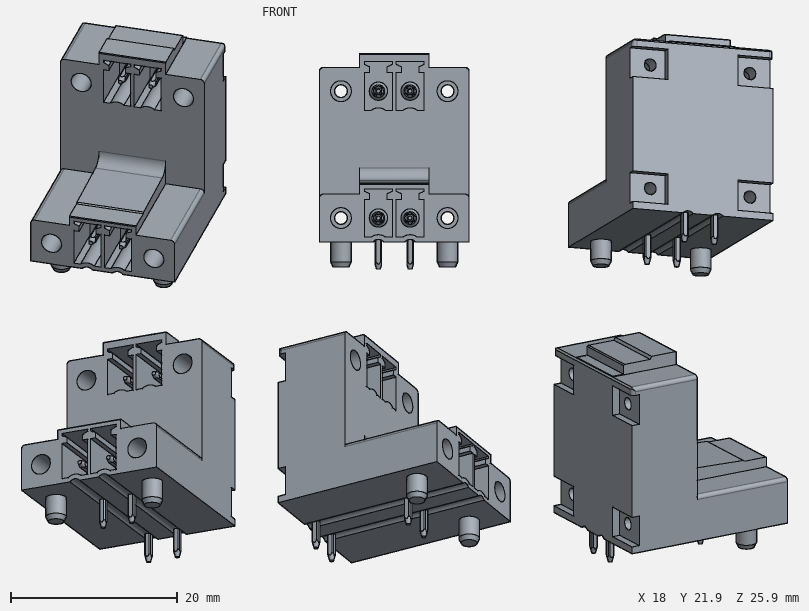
import cadquery as cq
import math


width = 18.01
depth = 21.9
step_y = 12.7
deck_pitch = 15.24
lower_shoulder_z = 5.76
upper_shoulder_z = lower_shoulder_z + deck_pitch
shoulder_radius = 0.5
rear_edge_run = 0.22
rear_edge_drop = 0.22

block_width = 8.35
nose_chamfer = 0.1
lower_nose_z = 7.0
lower_nose_length = 3.08
ramp_start_z = 7.13
ramp_end_z = 7.41
blend_radius = 1.5
upper_nose_z = 22.65
upper_nose_length = 3.5
upper_back_z = 22.3
upper_back_y = depth - 1.73
rear_strip_rise = 0.1
step_run = 0.21

pole_pitch = 3.81
poles_x = (-pole_pitch / 2, pole_pitch / 2)
pin_z = 2.89
cavity_width = 3.39
cavity_depth = 6.9
floor_z = 0.59
ledge_z = 5.11
lip_top_z = 5.8
lip_root_z = 6.13
lower_roof_z = 6.4
upper_roof_z = 21.67 - deck_pitch
neck_width = 2.08
rib_radius = 1.4
rib_height = 0.3
rib_centre_z = floor_z + rib_height - rib_radius
groove_radius = rib_radius - floor_z

collar_base_radius = 1.1
collar_tip_radius = 0.76
collar_height = 0.5
collar_lip_radius = 0.6
collar_lip_height = 0.2

screw_x = 6.4
screw_bore = 2.5
screw_bore_depth = 6.0
screw_pilot = 1.5
recess_width = 4.5
recess_depth = 1.0
recess_height = 3.75
lower_recess_z = 2.75
recess_pitch = 15.4
upper_recess_top_z = lower_recess_z + recess_pitch + recess_height / 2
peg_y = 4.22
peg_diameter = 2.5
peg_length = 3.0
peg_chamfer_height = 0.6
peg_chamfer_width = 0.3

pin_size = 0.8
pin_edge_chamfer = 0.14
pin_bottom_z = -3.25
leg_setback = 7.95
pin_tip_setback = 1.4
tip_length = 1.2
tip_radius = 0.24

decks = ((0.0, 0.0, lower_roof_z), (step_y, deck_pitch, upper_roof_z))


def box(x_size, y_start, y_end, z_start, z_end, x_centre=0.0):
    """Block centred on x_centre and spanning the given Y and Z ranges."""
    block = cq.Workplane("XY").box(x_size, y_end - y_start, z_end - z_start, centered=(True, False, False))
    return block.translate((x_centre, y_start, z_start))


def rod(radius, y_start, length, x, z):
    """Cylinder along +Y."""
    solid = cq.Solid.makeCylinder(radius, length, cq.Vector(x, y_start, z), cq.Vector(0, 1, 0))
    return cq.Workplane(obj=solid)


def deck_block(y_start, y_end, top_z):
    """Full-width block standing on the underside, with rounded shoulders along Y."""
    return box(width, y_start, y_end, 0, top_z).edges("|Y and >Z").fillet(shoulder_radius)


def rear_edge_bevel():
    """Wedge removed along the rear top edge."""
    return (
        cq.Workplane("YZ")
        .polyline([
            (depth, upper_shoulder_z - rear_edge_drop),
            (depth, upper_shoulder_z),
            (depth - rear_edge_run, upper_shoulder_z),
        ])
        .close()
        .extrude(width / 2, both=True)
    )


def rear_corner_waste(side):
    """Material outside the round of a vertical rear corner, above the upper recess."""
    x = side * (width - shoulder_radius) / 2
    corner = box(shoulder_radius, depth - shoulder_radius, depth, upper_recess_top_z, upper_shoulder_z, x)
    axis_x = side * (width / 2 - shoulder_radius)
    rounding = cq.Solid.makeCylinder(
        shoulder_radius, upper_shoulder_z, cq.Vector(axis_x, depth - shoulder_radius, 0)
    )
    return corner.cut(cq.Workplane(obj=rounding))


def housing_body():
    """Stepped body with rounded shoulders, bevelled rear edge and four rear side recesses."""
    body = deck_block(0, depth, lower_shoulder_z).union(deck_block(step_y, depth, upper_shoulder_z))
    body = body.cut(rear_edge_bevel())
    for side in (-1, 1):
        body = body.cut(rear_corner_waste(side))
        recess_x = side * (width - recess_width) / 2
        for centre_z in (lower_recess_z, lower_recess_z + recess_pitch):
            low = centre_z - recess_height / 2
            body = body.cut(box(recess_width, depth - recess_depth, depth, low, low + recess_height, recess_x))
    return body


def lower_block():
    """Nose, shallow ramp and the concave blend that meets the upper deck front."""
    blend_y = step_y - blend_radius
    blend_centre_z = ramp_end_z + blend_radius
    middle = blend_radius * math.sqrt(0.5)
    return (
        cq.Workplane("YZ")
        .moveTo(0, floor_z)
        .lineTo(0, lower_nose_z - nose_chamfer)
        .lineTo(nose_chamfer, lower_nose_z)
        .lineTo(lower_nose_length, lower_nose_z)
        .lineTo(lower_nose_length + step_run, ramp_start_z)
        .lineTo(blend_y, ramp_end_z)
        .threePointArc((blend_y + middle, blend_centre_z - middle), (step_y, blend_centre_z))
        .lineTo(step_y, floor_z)
        .close()
        .extrude(block_width / 2, both=True)
    )


def upper_block():
    """Nose and lower back, with a low strip carried on to the bevelled rear edge."""
    base_z = ledge_z + deck_pitch
    strip_z = upper_shoulder_z + rear_strip_rise
    nose_end = step_y + upper_nose_length
    profile = cq.Workplane("YZ").polyline([
        (step_y, base_z),
        (step_y, upper_nose_z - nose_chamfer),
        (step_y + nose_chamfer, upper_nose_z),
        (nose_end, upper_nose_z),
        (nose_end + step_run, upper_back_z),
        (upper_back_y - step_run, upper_back_z),
        (upper_back_y, upper_back_z - nose_chamfer),
        (upper_back_y, strip_z),
        (depth - rear_edge_run, strip_z),
        (depth - rear_edge_run, base_z),
    ])
    return profile.close().extrude(block_width / 2, both=True)


def cavity(roof_z):
    """Plug cavity of the lower deck at x = 0: necked by two guide lips, with a rib along its floor."""
    half = cavity_width / 2
    neck = neck_width / 2
    right_side = [
        (half, floor_z),
        (half, ledge_z),
        (neck, ledge_z),
        (neck, lip_top_z),
        (half, lip_root_z),
        (half, roof_z),
    ]
    left_side = [(-x, z) for x, z in reversed(right_side)]
    space = cq.Workplane("XZ").polyline(right_side + left_side).close().extrude(-cavity_depth)
    collar = cq.Solid.makeCone(
        collar_base_radius, collar_tip_radius, collar_height,
        cq.Vector(0, cavity_depth, pin_z), cq.Vector(0, -1, 0),
    )
    lip_start = cavity_depth - collar_height - collar_lip_height
    lip = rod(collar_lip_radius, lip_start, cavity_depth - lip_start, 0, pin_z)
    rib = rod(rib_radius, 0, cavity_depth, 0, rib_centre_z)
    return space.cut(rib).cut(cq.Workplane(obj=collar)).cut(lip)


def peg(x):
    """Locating peg with a tapered end."""
    radius = peg_diameter / 2
    shank = cq.Workplane("XY").circle(radius).extrude(-(peg_length - peg_chamfer_height))
    end = cq.Solid.makeCone(
        radius, radius - peg_chamfer_width, peg_chamfer_height,
        cq.Vector(0, 0, peg_chamfer_height - peg_length), cq.Vector(0, 0, -1),
    )
    return shank.union(cq.Workplane(obj=end)).translate((x, peg_y, 0))


def make_housing(pins):
    """Body and blocks with all cavities, bores and pegs, and channels that fit the pins."""
    body = housing_body().union(lower_block()).union(upper_block())
    for front_y, rise, roof_z in decks:
        for x in poles_x:
            body = body.cut(cavity(roof_z).translate((x, front_y, rise)))
        for x in (-screw_x, screw_x):
            body = body.cut(rod(screw_bore / 2, front_y, screw_bore_depth, x, pin_z + rise))
            body = body.cut(rod(screw_pilot / 2, front_y, depth - front_y, x, pin_z + rise))
    for x in poles_x:
        body = body.cut(rod(groove_radius, 0, depth, x, rib_centre_z))
    for x in (-screw_x, screw_x):
        body = body.union(peg(x))
    for pin in pins:
        body = body.cut(pin)
    return body


def pin_bar(length):
    """Square bar along +Z with bevelled edges; the tapered tip is at z = 0."""
    bar = cq.Workplane("XY").rect(pin_size, pin_size).extrude(length).edges("|Z").chamfer(pin_edge_chamfer)
    corner_radius = pin_size / 2 * math.sqrt(2)
    taper = cq.Workplane(obj=cq.Solid.makeCone(tip_radius, corner_radius, tip_length))
    envelope = taper.union(
        cq.Workplane("XY").workplane(offset=tip_length).circle(corner_radius).extrude(length - tip_length)
    )
    return bar.intersect(envelope)


def make_pin(x, front_y, rise):
    """Angled pin: contact along Y into the cavity, leg down through the underside."""
    leg_y = front_y + leg_setback
    contact_z = pin_z + rise
    half = pin_size / 2
    leg = pin_bar(contact_z + half - pin_bottom_z).translate((x, leg_y, pin_bottom_z))
    contact = (
        pin_bar(leg_setback + half - pin_tip_setback)
        .rotate((0, 0, 0), (1, 0, 0), -90)
        .translate((x, front_y + pin_tip_setback, contact_z))
    )
    return leg.union(contact)


pins = [make_pin(x, front_y, rise) for front_y, rise, _ in decks for x in poles_x]
housing = make_housing(pins)

result = cq.Compound.makeCompound([housing.val(), *[pin.val() for pin in pins]])